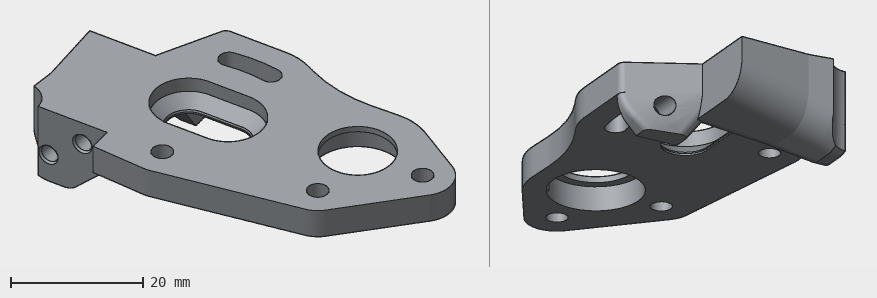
import cadquery as cq
import math


PLATE_T = 5.0
PLATE_TOP_Y = 15.0
LOBE_R = 5.0
SCREW_D = 3.4
BORE_PITCH = 11.5
SIDE_LOBE = (BORE_PITCH, 0.0)
LOWER_LOBE = (0.0, -BORE_PITCH)
PIVOT = (-25.0, -15.68)
PLATE_LEFT_X = -42.0
SLANT_START_Y = -3.0
SLANT_RUN_PER_RISE = 0.522
NOTCH_CORNER = (-34.6, -20.03)
CREST_CORNER = (-19.6, PLATE_TOP_Y)
VALLEY_CORNER = (-10.3, 10.35)
SHOULDER_CORNER = (3.7, 10.83)
SLANT_CORNER_R = 1.3
CREST_R = 10.0
VALLEY_R = 25.0

BORE_D = 12.0
BORE_LIP = 1.0
RECESS_D = 15.0
RECESS_RIB_R = 0.45
RECESS_RIB_DEG = 60.0

OPENING_CENTER = (-24.5, -3.25)
OPENING_STRAIGHT = 7.0
OPENING_TOP_R = 6.0
OPENING_TAPER_R = 3.9
OPENING_BOTTOM_R = 3.75
OPENING_WALL_Z = -2.5
OPENING_TAPER_Z = -4.4
OPENING_LIP_Z = -4.7

SLOT_SWING_R = 25.0
SLOT_WIDTH = 3.4
SLOT_LEFT_DEG = 97.8
SLOT_RIGHT_DEG = 80.7

EAR_FRONT_Y = -16.0
EAR_BACK_Y = -14.0
LIP_Y = -12.0
WAIST_Y = -8.0
ROOT_Y = 4.0
ARM_LEFT_X = -50.0
WAIST_LEFT_X = -49.5
EAR_DEPTH = 13.5
WAIST_DEPTH = 11.25
ROOT_DEPTH = 8.6
ARM_LEFT_R = 5.0
ARM_RIGHT_R = 3.0
ARM_SLOPE_X = -32.15
ARM_SLOPE_DEG = 43.8
ARM_OVERLAP = 1.0
RELIEF_CENTER = (-50.85, EAR_FRONT_Y)
RELIEF_R = 4.0

EAR_HOLES = [(-45.0, -8.5), (-39.0, -4.0)]
TAP_D = 2.9
TAP_MOUTH_D = 3.4
TAP_MOUTH_DEPTH = 0.4
TAP_DEPTH = 8.0

LUG_RIGHT_X = -31.5
LUG_BOTTOM_Z = -11.0
LUG_BACK_Y = 14.95
LUG_BOTTOM_BACK_Y = 11.6
LUG_BOTTOM_FRONT_Y = 4.55
LUG_FRONT_RUN_PER_RISE = 0.7
LUG_BACK_R = 6.0
LUG_BOTTOM_LEFT_X = -35.6
LUG_BOTTOM_LEFT_TURN = 0.17
LUG_FRONT_CORNER_R = 1.6
LUG_BACK_CORNER_R = 1.0
LUG_MARGIN = 2.0
LUG_HOLE = (9.0, -7.0)
LUG_HOLE_D = 3.1


def polar(center, radius, degrees):
    angle = math.radians(degrees)
    return (center[0] + radius * math.cos(angle), center[1] + radius * math.sin(angle))


def tangent_degrees(point, center, radius, side):
    """Direction from a circle's centre to where a line from the point touches it."""
    dx = point[0] - center[0]
    dy = point[1] - center[1]
    opening = math.acos(radius / math.hypot(dx, dy))
    return math.degrees(math.atan2(dy, dx) + side * opening)


def outward_degrees(start, end):
    """Right-hand normal of the line from start to end."""
    return math.degrees(math.atan2(end[1] - start[1], end[0] - start[0])) - 90


def slant_x(y):
    """X of the plate's slanted left edge at height y."""
    return PLATE_LEFT_X + (y - SLANT_START_Y) * SLANT_RUN_PER_RISE


def make_plate():
    slant_corner = (slant_x(PLATE_TOP_Y), PLATE_TOP_Y)
    lower_edge = outward_degrees(PIVOT, LOWER_LOBE)
    right_edge = outward_degrees(LOWER_LOBE, SIDE_LOBE)
    lobes = [
        (PIVOT, tangent_degrees(NOTCH_CORNER, PIVOT, LOBE_R, 1), lower_edge),
        (LOWER_LOBE, lower_edge, right_edge),
        (SIDE_LOBE, right_edge, tangent_degrees(SHOULDER_CORNER, SIDE_LOBE, LOBE_R, -1)),
    ]
    outline = cq.Workplane("XY").moveTo(*NOTCH_CORNER)
    for center, start, end in lobes:
        sweep = (end - start) % 360
        outline = outline.lineTo(*polar(center, LOBE_R, start))
        outline = outline.threePointArc(
            polar(center, LOBE_R, start + sweep / 2), polar(center, LOBE_R, end)
        )
    corners = [
        SHOULDER_CORNER,
        VALLEY_CORNER,
        CREST_CORNER,
        slant_corner,
        (PLATE_LEFT_X, SLANT_START_Y),
        (PLATE_LEFT_X, EAR_FRONT_Y),
        (NOTCH_CORNER[0], EAR_FRONT_Y),
    ]
    for corner in corners:
        outline = outline.lineTo(*corner)
    plate = outline.close().extrude(-PLATE_T)
    rounded_corners = [
        (SHOULDER_CORNER, CREST_R),
        (VALLEY_CORNER, VALLEY_R),
        (CREST_CORNER, CREST_R),
        (slant_corner, SLANT_CORNER_R),
    ]
    for corner, radius in rounded_corners:
        middle = (corner[0], corner[1], -PLATE_T / 2)
        edge = cq.selectors.NearestToPointSelector(middle)
        plate = plate.edges("|Z").edges(edge).fillet(radius)
    return plate


def arm_section(y, left_x, depth):
    """Closed XZ section of the arm: vertical left wall, round, flat bottom, slope."""
    slope = math.radians(ARM_SLOPE_DEG)
    slope_top_z = -PLATE_T + ARM_OVERLAP
    slope_top_x = ARM_SLOPE_X + ARM_OVERLAP / math.tan(slope)
    bottom_x = ARM_SLOPE_X - (depth - PLATE_T) / math.tan(slope)
    flat_end_x = bottom_x - ARM_RIGHT_R * math.tan(slope / 2)
    left_center = (left_x + ARM_LEFT_R, -depth + ARM_LEFT_R)
    right_center = (flat_end_x, -depth + ARM_RIGHT_R)
    section = (
        cq.Workplane("XZ", origin=(0, y, 0))
        .moveTo(left_x, 0)
        .lineTo(left_x, left_center[1])
        .threePointArc(polar(left_center, ARM_LEFT_R, 225), (left_center[0], -depth))
        .lineTo(flat_end_x, -depth)
        .threePointArc(
            polar(right_center, ARM_RIGHT_R, ARM_SLOPE_DEG / 2 - 90),
            polar(right_center, ARM_RIGHT_R, ARM_SLOPE_DEG - 90),
        )
        .lineTo(slope_top_x, slope_top_z)
        .lineTo(slope_top_x, 0)
        .close()
    )
    return section.val()


def make_arm():
    lip_share = (WAIST_Y - LIP_Y) / (WAIST_Y - EAR_BACK_Y)
    lip_depth = WAIST_DEPTH + lip_share * (EAR_DEPTH - WAIST_DEPTH)
    stations = [
        (EAR_FRONT_Y, ARM_LEFT_X, EAR_DEPTH),
        (EAR_BACK_Y, ARM_LEFT_X, EAR_DEPTH),
        (LIP_Y, ARM_LEFT_X, lip_depth),
        (WAIST_Y, WAIST_LEFT_X, WAIST_DEPTH),
        (ROOT_Y, ARM_LEFT_X, ROOT_DEPTH),
    ]
    sections = [arm_section(*station) for station in stations]
    arm = cq.Workplane(cq.Solid.makeLoft(sections, True))
    relief = (
        cq.Workplane("XY").center(*RELIEF_CENTER).circle(RELIEF_R).extrude(-EAR_DEPTH)
    )
    return arm.cut(relief)


def lug_plan(z, front_left, back_left):
    """Outline that trims the lug at height z, clear of its right-hand face."""
    points = [
        front_left,
        (LUG_RIGHT_X + LUG_MARGIN, front_left[1]),
        (LUG_RIGHT_X + LUG_MARGIN, back_left[1]),
        back_left,
    ]
    return cq.Workplane("XY", origin=(0, 0, z)).polyline(points).close().val()


def make_lug():
    """YZ profile run along X, with a twisted left face that starts under the plate's slant."""
    lug_height = -PLATE_T - LUG_BOTTOM_Z
    front_y = LUG_BOTTOM_FRONT_Y - lug_height * LUG_FRONT_RUN_PER_RISE
    shoulder_z = LUG_BOTTOM_Z + LUG_BACK_Y - LUG_BOTTOM_BACK_Y
    left_x = slant_x(front_y)
    profile = (
        cq.Workplane("YZ", origin=(left_x, 0, 0))
        .moveTo(front_y, -PLATE_T)
        .lineTo(LUG_BOTTOM_FRONT_Y, LUG_BOTTOM_Z)
        .lineTo(LUG_BOTTOM_BACK_Y, LUG_BOTTOM_Z)
        .lineTo(LUG_BACK_Y, shoulder_z)
        .lineTo(LUG_BACK_Y, -PLATE_T)
        .close()
        .extrude(LUG_RIGHT_X - left_x)
    )
    shoulder = cq.selectors.NearestToPointSelector((LUG_RIGHT_X, LUG_BACK_Y, shoulder_z))
    profile = profile.edges("|X").edges(shoulder).fillet(LUG_BACK_R)

    bottom_back_x = LUG_BOTTOM_LEFT_X + (LUG_BACK_Y - LUG_BOTTOM_FRONT_Y) * LUG_BOTTOM_LEFT_TURN
    top_plan = lug_plan(
        -PLATE_T,
        (left_x, front_y),
        (slant_x(LUG_BACK_Y), LUG_BACK_Y),
    )
    bottom_plan = lug_plan(
        LUG_BOTTOM_Z,
        (LUG_BOTTOM_LEFT_X, LUG_BOTTOM_FRONT_Y),
        (bottom_back_x, LUG_BACK_Y),
    )
    twisted_block = cq.Workplane(cq.Solid.makeLoft([top_plan, bottom_plan], True))
    lug = profile.intersect(twisted_block)
    front_corner = cq.selectors.NearestToPointSelector(
        (
            (left_x + LUG_BOTTOM_LEFT_X) / 2,
            (front_y + LUG_BOTTOM_FRONT_Y) / 2,
            (LUG_BOTTOM_Z - PLATE_T) / 2,
        )
    )
    lug = lug.edges(front_corner).fillet(LUG_FRONT_CORNER_R)
    back_corner = cq.selectors.BoxSelector(
        (left_x, LUG_BOTTOM_BACK_Y, LUG_BOTTOM_Z),
        (LUG_RIGHT_X, LUG_BACK_Y + LUG_MARGIN, -PLATE_T),
    )
    return lug.edges("%BSPLINE").edges(back_corner).fillet(LUG_BACK_CORNER_R)


def screw_holes():
    centers = [PIVOT, LOWER_LOBE, SIDE_LOBE]
    return cq.Workplane("XY").pushPoints(centers).circle(SCREW_D / 2).extrude(-PLATE_T)


def bearing_bore():
    bore = cq.Workplane("XY").circle(BORE_D / 2).extrude(-PLATE_T)
    recess = cq.Workplane("XY", origin=(0, 0, -PLATE_T)).circle(RECESS_D / 2)
    recess = recess.extrude(PLATE_T - BORE_LIP)
    rib = (
        cq.Workplane("XY", origin=(0, 0, -PLATE_T))
        .center(*polar((0, 0), RECESS_D / 2, RECESS_RIB_DEG))
        .circle(RECESS_RIB_R)
        .extrude(PLATE_T - BORE_LIP)
    )
    return bore.union(recess.cut(rib))


def oblong(z, radius):
    plane = cq.Workplane("XY", origin=(*OPENING_CENTER, z))
    return plane.slot2D(OPENING_STRAIGHT + 2 * radius, 2 * radius)


def oblong_taper(top_z, top_r, bottom_z, bottom_r):
    ends = [oblong(top_z, top_r).val(), oblong(bottom_z, bottom_r).val()]
    return cq.Workplane(cq.Solid.makeLoft(ends, True))


def tapered_opening():
    wall = oblong(0, OPENING_TOP_R).extrude(OPENING_WALL_Z)
    taper = oblong_taper(OPENING_WALL_Z, OPENING_TOP_R, OPENING_TAPER_Z, OPENING_TAPER_R)
    lip = oblong_taper(OPENING_TAPER_Z, OPENING_TAPER_R, OPENING_LIP_Z, OPENING_BOTTOM_R)
    throat = oblong(OPENING_LIP_Z, OPENING_BOTTOM_R).extrude(-PLATE_T - OPENING_LIP_Z)
    return wall.union(taper).union(lip).union(throat)


def curved_slot():
    middle = (SLOT_LEFT_DEG + SLOT_RIGHT_DEG) / 2
    inner_r = SLOT_SWING_R - SLOT_WIDTH / 2
    outer_r = SLOT_SWING_R + SLOT_WIDTH / 2
    left_end = polar(PIVOT, SLOT_SWING_R, SLOT_LEFT_DEG)
    right_end = polar(PIVOT, SLOT_SWING_R, SLOT_RIGHT_DEG)
    return (
        cq.Workplane("XY")
        .moveTo(*polar(PIVOT, inner_r, SLOT_LEFT_DEG))
        .threePointArc(polar(PIVOT, inner_r, middle), polar(PIVOT, inner_r, SLOT_RIGHT_DEG))
        .threePointArc(
            polar(right_end, SLOT_WIDTH / 2, SLOT_RIGHT_DEG - 90),
            polar(PIVOT, outer_r, SLOT_RIGHT_DEG),
        )
        .threePointArc(polar(PIVOT, outer_r, middle), polar(PIVOT, outer_r, SLOT_LEFT_DEG))
        .threePointArc(
            polar(left_end, SLOT_WIDTH / 2, SLOT_LEFT_DEG + 90),
            polar(PIVOT, inner_r, SLOT_LEFT_DEG),
        )
        .close()
        .extrude(-PLATE_T)
    )


def tapped_holes():
    face = cq.Workplane("XZ", origin=(0, EAR_FRONT_Y, 0)).pushPoints(EAR_HOLES)
    drill = face.circle(TAP_D / 2).extrude(-TAP_DEPTH)
    for x, z in EAR_HOLES:
        mouth = cq.Solid.makeCone(
            TAP_MOUTH_D / 2,
            TAP_D / 2,
            TAP_MOUTH_DEPTH,
            cq.Vector(x, EAR_FRONT_Y, z),
            cq.Vector(0, 1, 0),
        )
        drill = drill.union(cq.Workplane(mouth))
    return drill


def lug_hole():
    start = cq.Workplane("YZ", origin=(ARM_LEFT_X, 0, 0)).center(*LUG_HOLE)
    return start.circle(LUG_HOLE_D / 2).extrude(LUG_RIGHT_X - ARM_LEFT_X)


result = make_plate().union(make_arm()).union(make_lug())
for opening in (
    screw_holes(),
    bearing_bore(),
    tapered_opening(),
    curved_slot(),
    tapped_holes(),
    lug_hole(),
):
    result = result.cut(opening)